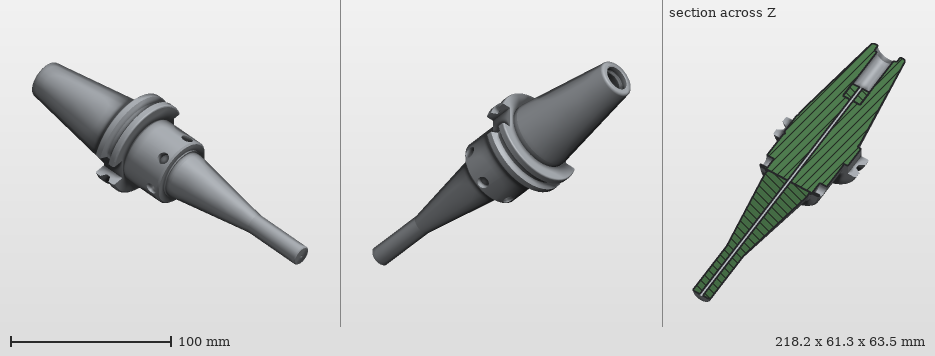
import cadquery as cq
import math

TOTAL_LENGTH = 218.2
GAUGE_PLANE = 68.0
FLANGE_START = 71.4
FLANGE_END = 87.0
COLLAR_END = 116.5
RING_WIDTH = 0.9
CONE_START = 120.7
NOSE_START = 178.5

GAUGE_RADIUS = 22.3
TAPER_SLOPE = 7 / 48
REAR_RADIUS = GAUGE_RADIUS - GAUGE_PLANE * TAPER_SLOPE
REAR_ROUND = 2.0

FLANGE_DIAMETER = 63.5
FLANGE_RADIUS = FLANGE_DIAMETER / 2
FLANGE_ROUND = 1.0
GROOVE_FLOOR_RADIUS = 28.2
GROOVE_CENTRE = 79.2
GROOVE_FLOOR_WIDTH = 2.8
GROOVE_HALF_ANGLE = 30
SLOT_WIDTH = 16.4
SLOT_FLOOR_FRONT = 22.7
SLOT_FLOOR_BACK = 24.9

COLLAR_RADIUS = GAUGE_RADIUS
COLLAR_REAR_CHAMFER_LENGTH = 1.3
COLLAR_REAR_CHAMFER_HEIGHT = 0.7
COLLAR_FRONT_CHAMFER = 1.0
RADIAL_HOLE_COUNT = 6
RADIAL_HOLE_DIAMETER = 7.6
RADIAL_HOLE_DEPTH = 5.2
RADIAL_HOLE_X = 111.0

RIM_DIAMETER = 18.0
RIM_CHAMFER = 0.5
PILOT_DIAMETER = 16.4
PILOT_DEPTH = 4.4
STEP_CHAMFER = 0.5
THREAD_DIAMETER = 12.2
THREAD_RIM_DIAMETER = 13.3
BORE_DEPTH = 32.7

RING_RADIUS = 16.8
NECK_RADIUS = 15.7
NOSE_DIAMETER = 13.0
NOSE_CHAMFER = 0.7
COOLANT_DIAMETER = 2.0
PLUG_LENGTH = 11.0


def revolved(points):
    """Revolve a closed (x, radius) outline about the X axis."""
    outline = cq.Workplane("XY").polyline(points).close()
    return outline.revolve(360, (0, 0, 0), (1, 0, 0))


def x_cylinder(diameter, start, end):
    """Solid cylinder along the X axis."""
    return cq.Workplane("YZ", origin=(start, 0, 0)).circle(diameter / 2).extrude(end - start)


def make_shank():
    """Taper with a rounded rear edge and a short cylinder up to the flange."""
    shank = revolved([
        (0, 0),
        (0, REAR_RADIUS),
        (GAUGE_PLANE, GAUGE_RADIUS),
        (FLANGE_START, GAUGE_RADIUS),
        (FLANGE_START, 0),
    ])
    return shank.faces("<X").edges().fillet(REAR_ROUND)


def make_groove():
    """Ring of V-shaped section that is cut from the flange rim."""
    floor_half = GROOVE_FLOOR_WIDTH / 2
    groove_rise = FLANGE_RADIUS - GROOVE_FLOOR_RADIUS
    mouth_half = floor_half + groove_rise * math.tan(math.radians(GROOVE_HALF_ANGLE))
    return revolved([
        (GROOVE_CENTRE - floor_half, GROOVE_FLOOR_RADIUS),
        (GROOVE_CENTRE + floor_half, GROOVE_FLOOR_RADIUS),
        (GROOVE_CENTRE + mouth_half, FLANGE_RADIUS),
        (GROOVE_CENTRE - mouth_half, FLANGE_RADIUS),
    ])


def make_flange():
    """Round-edged disc with the V-groove and a drive slot on each Y side."""
    flange = x_cylinder(FLANGE_DIAMETER, FLANGE_START, FLANGE_END)
    flange = flange.faces("<X or >X").edges().fillet(FLANGE_ROUND)
    flange = flange.cut(make_groove())
    centre_x = (FLANGE_START + FLANGE_END) / 2
    slot = cq.Workplane("XY").box(FLANGE_END - FLANGE_START, FLANGE_RADIUS, SLOT_WIDTH)
    for side, floor in ((-1, SLOT_FLOOR_FRONT), (1, SLOT_FLOOR_BACK)):
        centre_y = side * (floor + FLANGE_RADIUS / 2)
        flange = flange.cut(slot.translate((centre_x, centre_y, 0)))
    return flange


def make_collar():
    """Chamfered cylinder with evenly spaced blind radial holes."""
    collar = revolved([
        (FLANGE_END, 0),
        (FLANGE_END, COLLAR_RADIUS - COLLAR_REAR_CHAMFER_HEIGHT),
        (FLANGE_END + COLLAR_REAR_CHAMFER_LENGTH, COLLAR_RADIUS),
        (COLLAR_END - COLLAR_FRONT_CHAMFER, COLLAR_RADIUS),
        (COLLAR_END, COLLAR_RADIUS - COLLAR_FRONT_CHAMFER),
        (COLLAR_END, 0),
    ])
    hole_floor = COLLAR_RADIUS - RADIAL_HOLE_DEPTH
    hole = (
        cq.Workplane("XZ", origin=(RADIAL_HOLE_X, -hole_floor, 0))
        .circle(RADIAL_HOLE_DIAMETER / 2)
        .extrude(COLLAR_RADIUS)
    )
    for i in range(RADIAL_HOLE_COUNT):
        angle = i * 360 / RADIAL_HOLE_COUNT
        collar = collar.cut(hole.rotate((0, 0, 0), (1, 0, 0), angle))
    return collar


def make_rear_bore():
    """Stepped bore: rim chamfer, pilot, flat step and the long inner bore."""
    pilot_radius = PILOT_DIAMETER / 2
    thread_radius = THREAD_DIAMETER / 2
    thread_rim_radius = THREAD_RIM_DIAMETER / 2
    thread_start = PILOT_DEPTH + thread_rim_radius - thread_radius
    plug_seat_end = BORE_DEPTH + PLUG_LENGTH
    return revolved([
        (0, 0),
        (0, RIM_DIAMETER / 2),
        (RIM_CHAMFER, pilot_radius),
        (PILOT_DEPTH - STEP_CHAMFER, pilot_radius),
        (PILOT_DEPTH, pilot_radius - STEP_CHAMFER),
        (PILOT_DEPTH, thread_rim_radius),
        (thread_start, thread_radius),
        (plug_seat_end, thread_radius),
        (plug_seat_end, 0),
    ])


def make_holder():
    """Shank, flange and collar in one piece, with the rear bore and coolant hole."""
    blank = make_shank().union(make_flange()).union(make_collar())
    return blank.cut(make_rear_bore()).cut(coolant_hole)


def make_extension():
    """Slim neck, cone and cylindrical nose in front of the collar."""
    nose_radius = NOSE_DIAMETER / 2
    extension = revolved([
        (COLLAR_END, 0),
        (COLLAR_END, NECK_RADIUS),
        (CONE_START, NECK_RADIUS),
        (NOSE_START, nose_radius),
        (TOTAL_LENGTH - NOSE_CHAMFER, nose_radius),
        (TOTAL_LENGTH, nose_radius - NOSE_CHAMFER),
        (TOTAL_LENGTH, 0),
    ])
    return extension.cut(coolant_hole)


def make_seal_ring():
    """Thin ring around the neck, against the front face of the collar."""
    ring_end = COLLAR_END + RING_WIDTH
    neck_hole = x_cylinder(2 * NECK_RADIUS, COLLAR_END, ring_end)
    return x_cylinder(2 * RING_RADIUS, COLLAR_END, ring_end).cut(neck_hole)


def make_coolant_plug():
    """Plug at the bottom of the rear bore, pierced by the coolant hole."""
    plug = x_cylinder(THREAD_DIAMETER, BORE_DEPTH, BORE_DEPTH + PLUG_LENGTH)
    return plug.cut(coolant_hole)


coolant_hole = x_cylinder(COOLANT_DIAMETER, 0, TOTAL_LENGTH)
holder = make_holder()
extension = make_extension()
seal_ring = make_seal_ring()
coolant_plug = make_coolant_plug()

result = cq.Compound.makeCompound([
    holder.val(),
    extension.val(),
    seal_ring.val(),
    coolant_plug.val(),
])